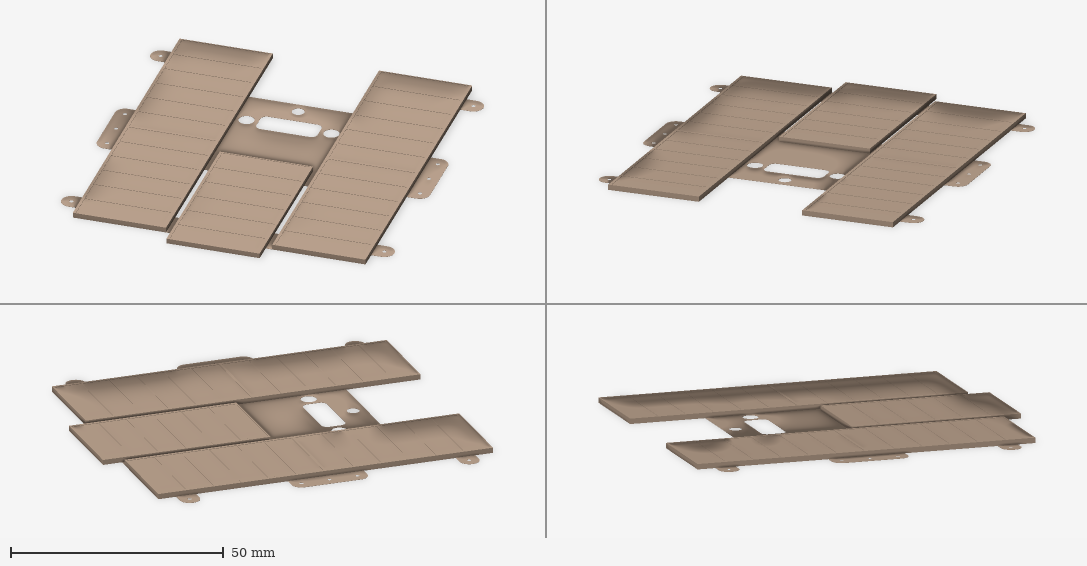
import cadquery as cq

overall_width = 82.1
overall_length = 88.7

panel_width = 23.0
panel_length = 42.0
panel_height = 1.2
column_pitch = 24.6

cell_count = 6
cell_depth = 0.1
side_rim = 0.7
end_rim = 0.34
cell_rib = 0.1

plate_thickness = 0.06
web_top_y = 25.7
window_top_y = -9.4
window_length = 23.0

tab_radius = 2.5
tab_hole_diameter = 1.0
tab_hole_pitch = 7.0
end_tab_steps = 5

slot_width = 15.1
slot_height = 6.0
slot_corner_radius = 1.5
slot_y = 15.35
side_hole_diameter = 3.8
side_hole_x = 10.5
top_hole_diameter = 3.0
top_hole_y = 22.6

cell_width = panel_width - 2 * side_rim
cell_length = (panel_length - 2 * end_rim - (cell_count - 1) * cell_rib) / cell_count
cell_pitch = cell_length + cell_rib
column_length = 2 * panel_length
column_top_y = overall_length / 2
column_middle_y = column_top_y - panel_length
column_bottom_y = column_top_y - column_length
web_width = 2 * column_pitch - panel_width
tab_hole_x = overall_width / 2 - tab_radius


def plate_block(x_min, x_max, y_min, y_max):
    """Rectangular piece of the plate, standing on Z = 0."""
    width = x_max - x_min
    length = y_max - y_min
    return cq.Workplane("XY").box(width, length, plate_thickness, centered=False).translate((x_min, y_min, 0))


def plate_disks(points, diameter):
    """Round pieces of plate thickness, used to shape or pierce the plate."""
    return cq.Workplane("XY").pushPoints(points).circle(diameter / 2).extrude(plate_thickness)


def make_right_wing():
    """Strip below the right-hand column, with its three mounting tabs along the outer edge."""
    inner_x = column_pitch - panel_width / 2
    outer_x = column_pitch + panel_width / 2
    wing = plate_block(inner_x, outer_x, column_bottom_y, column_top_y)

    hole_steps = (-end_tab_steps, -1, 0, 1, end_tab_steps)
    holes = [(tab_hole_x, column_middle_y + step * tab_hole_pitch) for step in hole_steps]
    for _, y in holes:
        wing = wing.union(plate_block(outer_x, tab_hole_x, y - tab_radius, y + tab_radius))
    wing = wing.union(plate_disks(holes, 2 * tab_radius))
    middle_low_y = column_middle_y - tab_hole_pitch
    middle_high_y = column_middle_y + tab_hole_pitch
    wing = wing.union(plate_block(outer_x, overall_width / 2, middle_low_y, middle_high_y))

    return wing.cut(plate_disks(holes, tab_hole_diameter)).clean()


def make_web():
    """Middle part of the plate, between the two outer columns."""
    half_width = web_width / 2
    web = plate_block(-half_width, half_width, column_bottom_y, web_top_y)

    web = web.cut(plate_block(-half_width, half_width, window_top_y - window_length, window_top_y))

    slot = cq.Workplane("XY").center(0, slot_y).rect(slot_width, slot_height).extrude(plate_thickness)
    slot = slot.edges("|Z").fillet(slot_corner_radius)
    side_holes = plate_disks([(-side_hole_x, slot_y), (side_hole_x, slot_y)], side_hole_diameter)
    top_hole = plate_disks([(0, top_hole_y)], top_hole_diameter)
    return web.cut(slot).cut(side_holes).cut(top_hole)


def make_carrier_plate():
    right_wing = make_right_wing()
    left_wing = right_wing.mirror("YZ")
    return make_web().union(right_wing).union(left_wing).clean()


def make_solar_panel(x, y):
    """Panel centred on (x, y), lying on the plate, with a row of sunken cells along Y."""
    body = (
        cq.Workplane("XY", origin=(x, y, plate_thickness))
        .rect(panel_width, panel_length)
        .extrude(panel_height)
    )
    cells = (
        cq.Workplane("XY", origin=(x, y, plate_thickness + panel_height))
        .rarray(0.9, cell_pitch, 1, cell_count)
        .rect(cell_width, cell_length)
        .extrude(-cell_depth)
    )
    return body.cut(cells)


carrier_plate = make_carrier_plate()

solar_panels = []
for column_x in (-column_pitch, column_pitch):
    for panel_y in (column_middle_y - panel_length / 2, column_middle_y + panel_length / 2):
        solar_panels.append(make_solar_panel(column_x, panel_y))

solar_panels.append(make_solar_panel(0, (panel_length - overall_length) / 2))

result = cq.Compound.makeCompound([carrier_plate.val(), *[panel.val() for panel in solar_panels]])